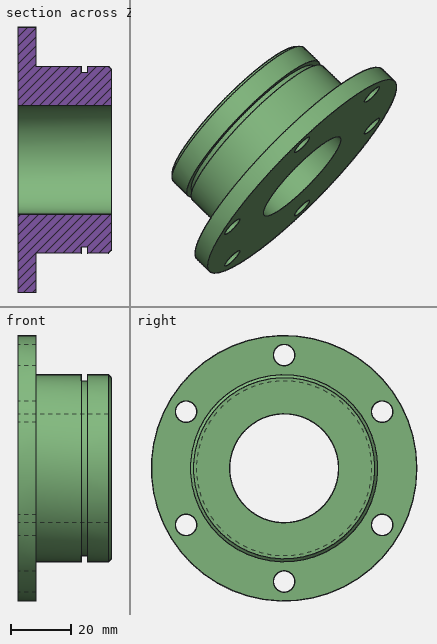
import cadquery as cq

flange_diameter = 88.0
flange_thickness = 6.0
hub_diameter = 62.0
total_length = 31.0
bore_diameter = 36.0
end_chamfer = 1.0

groove_start = 21.0
groove_width = 2.0
groove_depth = 2.0

hole_count = 6
hole_diameter = 7.0
hole_circle_diameter = 75.0
first_hole_angle = 90.0


def cylinder(diameter, start, length):
    """Solid cylinder on the X axis, beginning at X = start."""
    return cq.Workplane("YZ", origin=(start, 0, 0)).circle(diameter / 2).extrude(length)


def make_body():
    """Flange and hub, with the free end of the hub chamfered."""
    flange = cylinder(flange_diameter, 0, flange_thickness)
    hub = cylinder(hub_diameter, 0, total_length).faces(">X").chamfer(end_chamfer)
    return flange.union(hub)


def make_groove():
    """Ring of material removed from the hub."""
    ring = cylinder(hub_diameter, groove_start, groove_width)
    core = cylinder(hub_diameter - 2 * groove_depth, groove_start, groove_width)
    return ring.cut(core)


def make_mounting_holes():
    """Evenly spaced flange holes, the first one on the +Z side."""
    return (
        cq.Workplane("YZ")
        .polarArray(hole_circle_diameter / 2, first_hole_angle, 360, hole_count)
        .circle(hole_diameter / 2)
        .extrude(flange_thickness)
    )


bore = cylinder(bore_diameter, 0, total_length)
result = make_body().cut(make_groove()).cut(bore).cut(make_mounting_holes())